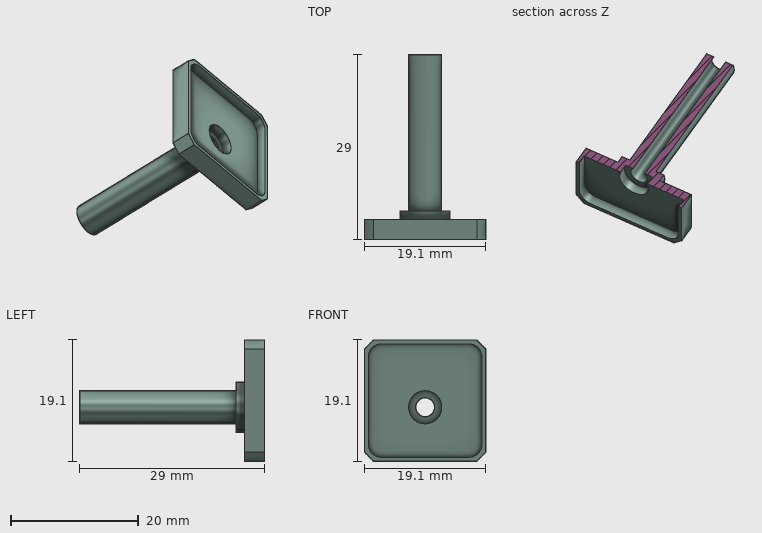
import cadquery as cq

plate_side = 19.05
plate_thickness = 3.2
corner_cut = 1.42

rim_width = 0.6
pocket_side = plate_side - 2 * rim_width
pocket_radius = 2.12
pocket_depth = 1.6

total_length = 29.03
stem_offset_z = -1.05
stem_diameter = 5.2
collar_diameter = 7.87
collar_thickness = 1.3
bore_diameter = 2.93
counterbore_diameter = stem_diameter
counterbore_depth = 1.6


def cylinder(diameter, start_y, end_y):
    """Cylinder on the stem axis, between two Y positions."""
    return (
        cq.Workplane("XZ", origin=(0, start_y, stem_offset_z))
        .circle(diameter / 2)
        .extrude(start_y - end_y)
    )


def square_block(side, depth):
    """Square block reaching from the front face at Y = 0 to Y = depth."""
    return cq.Workplane("XZ").rect(side, side).extrude(-depth)


plate = square_block(plate_side, plate_thickness).edges("|Y").chamfer(corner_cut)
pocket = square_block(pocket_side, pocket_depth).edges("|Y").fillet(pocket_radius)

collar = cylinder(collar_diameter, plate_thickness, plate_thickness + collar_thickness)
stem = cylinder(stem_diameter, plate_thickness, total_length)

bore = cylinder(bore_diameter, 0, total_length)
counterbore = cylinder(counterbore_diameter, pocket_depth, pocket_depth + counterbore_depth)

result = plate.union(collar).union(stem).cut(pocket).cut(counterbore).cut(bore)